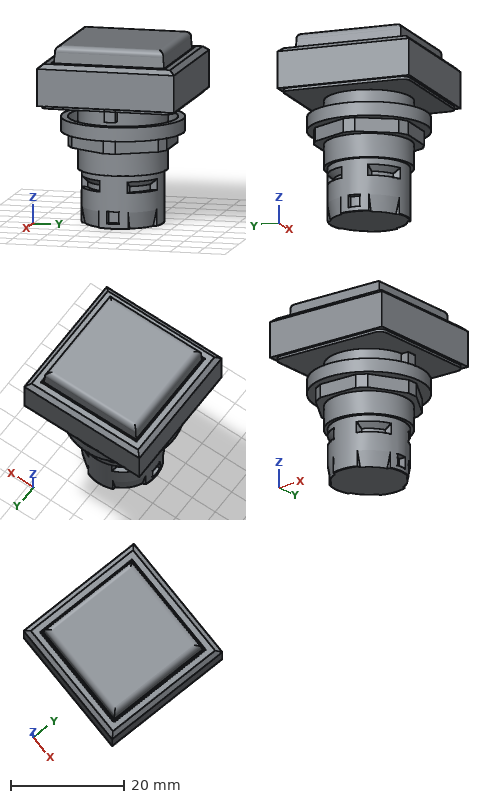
import cadquery as cq
import math


notch_top = 3.0
pocket_bottom = 6.5
pocket_top = 8.5
collar_bottom = 9.7
nut_bottom = 14.0
washer_bottom = 16.5
washer_top = 19.0
rim_bottom = 22.0
bezel_bottom = 22.5
bezel_top = 30.0
cap_top = 33.0

barrel_radius = 14.7 / 2
collar_radius = 16.0 / 2
washer_radius = 22.0 / 2
washer_recess_radius = 19.5 / 2
washer_recess_depth = 2.0
end_chamfer = 0.1

nut_across_flats = 18.0
nut_across_corner_cuts = 19.5

key_width = 2.0
key_reach = 9.55
key_bottom = 19.6
key_top = 21.9

bezel_size = 25.0
bezel_chamfer_width = 0.92
bezel_chamfer_height = 0.8
rim_size = 24.0
rim_corner_radius = 1.5

groove_half_width = 10.4
groove_depth = 1.0
ledge_half_width = 10.23
ledge_drop = 0.15
cap_base_half_width = 10.03
cap_shoulder_half_width = 9.9
cap_shoulder_height = 31.8
cap_edge_radius = 1.05

diagonals = [45 + 90 * i for i in range(4)]
pocket_floor_radius = 6.35
pocket_mouth_half_width = 3.1
pocket_floor_half_width = 2.1
notch_end_radius = 6.83
notch_half_width = 2.95
notch_end_half_width = 2.4
cutter_overrun = 0.33

window_size = 2.2
window_bottom = 0.9
window_floor_radius = 12.1 / 2


def cylinder(radius, bottom, top):
    return cq.Workplane("XY").workplane(offset=bottom).circle(radius).extrude(top - bottom)


def square_block(half_width, bottom, top):
    size = 2 * half_width
    return cq.Workplane("XY").workplane(offset=bottom).rect(size, size).extrude(top - bottom)


def hexagon_prism(across_flats, first_corner_angle):
    corner_radius = across_flats / math.sqrt(3)
    angles = [math.radians(first_corner_angle + 60 * i) for i in range(6)]
    corners = [(corner_radius * math.cos(a), corner_radius * math.sin(a)) for a in angles]
    return (
        cq.Workplane("XY")
        .workplane(offset=nut_bottom)
        .polyline(corners)
        .close()
        .extrude(washer_bottom - nut_bottom)
    )


def make_nut():
    return hexagon_prism(nut_across_flats, 0).intersect(hexagon_prism(nut_across_corner_cuts, 30))


def make_washer():
    """Washer with a round recess in its upper face, around the collar."""
    washer = cylinder(washer_radius, washer_bottom, washer_top)
    return washer.cut(cylinder(washer_recess_radius, washer_top - washer_recess_depth, washer_top))


def make_key():
    key = cq.Workplane("XY").box(
        key_reach, key_width, key_top - key_bottom, centered=(False, True, False)
    )
    return key.translate((0, 0, key_bottom))


def make_bezel():
    rim = (
        cq.Workplane("XY")
        .workplane(offset=rim_bottom)
        .rect(rim_size, rim_size)
        .extrude(bezel_bottom - rim_bottom)
        .edges("|Z")
        .fillet(rim_corner_radius)
    )
    block = square_block(bezel_size / 2, bezel_bottom, bezel_top)
    block = block.faces(">Z").chamfer(bezel_chamfer_height, bezel_chamfer_width)
    groove = square_block(groove_half_width, bezel_top - groove_depth, bezel_top)
    ledge = square_block(ledge_half_width, bezel_top - groove_depth, bezel_top - ledge_drop)
    return block.cut(groove).union(ledge).union(rim)


def cap_bar(plane):
    """Bar with the cap's cross-section, running the full cap width."""
    base = bezel_top - ledge_drop
    flat_half_width = cap_shoulder_half_width - cap_edge_radius
    arc_offset = cap_edge_radius * math.sqrt(0.5)
    arc_middle_x = flat_half_width + arc_offset
    arc_middle_z = cap_top - cap_edge_radius + arc_offset
    return (
        cq.Workplane(plane)
        .moveTo(-cap_base_half_width, base)
        .lineTo(cap_base_half_width, base)
        .lineTo(cap_shoulder_half_width, cap_shoulder_height)
        .threePointArc((arc_middle_x, arc_middle_z), (flat_half_width, cap_top))
        .lineTo(-flat_half_width, cap_top)
        .threePointArc((-arc_middle_x, arc_middle_z), (-cap_shoulder_half_width, cap_shoulder_height))
        .close()
        .extrude(cap_base_half_width, both=True)
    )


def make_cap():
    return cap_bar("XZ").intersect(cap_bar("YZ"))


def tapered_wedge(inner_radius, inner_half_width, outer_half_width, bottom, top):
    """Prism along +X, narrower towards the axis; its sides meet the barrel at outer_half_width."""
    inner_x = math.sqrt(inner_radius**2 - inner_half_width**2)
    outer_x = math.sqrt(barrel_radius**2 - outer_half_width**2)
    slope = (outer_half_width - inner_half_width) / (outer_x - inner_x)
    far_x = barrel_radius + cutter_overrun
    far_half_width = outer_half_width + slope * (far_x - outer_x)
    near_x = inner_x - cutter_overrun
    near_half_width = inner_half_width - slope * cutter_overrun
    return (
        cq.Workplane("XY")
        .workplane(offset=bottom)
        .polyline(
            [
                (near_x, -near_half_width),
                (far_x, -far_half_width),
                (far_x, far_half_width),
                (near_x, near_half_width),
            ]
        )
        .close()
        .extrude(top - bottom)
    )


def ring_of(profile):
    """Solid of revolution about Z from (radius, height) points."""
    return cq.Workplane("XZ").polyline(profile).close().revolve(360, (0, 0), (0, 1))


def make_pocket():
    """Pocket with a round floor, a flat lower side and a 45 degree conical upper side."""
    clear_radius = barrel_radius + cutter_overrun
    roof_low = pocket_top - (barrel_radius - pocket_floor_radius)
    roof_high = pocket_top + cutter_overrun
    ring = ring_of(
        [
            (pocket_floor_radius, pocket_bottom),
            (clear_radius, pocket_bottom),
            (clear_radius, roof_high),
            (pocket_floor_radius, roof_low),
        ]
    )
    wedge = tapered_wedge(
        pocket_floor_radius, pocket_floor_half_width, pocket_mouth_half_width, pocket_bottom, roof_high
    )
    return ring.intersect(wedge)


def make_notch():
    """Notch whose conical floor runs from the barrel surface inwards to the lower end."""
    clear_radius = barrel_radius + cutter_overrun
    ring = ring_of(
        [
            (notch_end_radius, 0),
            (clear_radius, 0),
            (clear_radius, notch_top),
            (barrel_radius, notch_top),
        ]
    )
    wedge = tapered_wedge(notch_end_radius, notch_end_half_width, notch_half_width, 0, notch_top)
    return ring.intersect(wedge)


def make_windows():
    """Square cutters through both sides of the barrel, ending on a round floor."""
    bar = cq.Workplane("XY").box(
        2 * collar_radius, window_size, window_size, centered=(True, True, False)
    )
    bar = bar.translate((0, 0, window_bottom))
    return bar.cut(cylinder(window_floor_radius, 0, collar_bottom))


def make_barrel():
    barrel = cylinder(barrel_radius, 0, collar_bottom).faces("<Z").chamfer(end_chamfer)
    pocket = make_pocket()
    notch = make_notch()
    for angle in diagonals:
        barrel = barrel.cut(pocket.rotate((0, 0, 0), (0, 0, 1), angle))
        barrel = barrel.cut(notch.rotate((0, 0, 0), (0, 0, 1), angle))
    return barrel.cut(make_windows())


result = (
    make_barrel()
    .union(make_nut())
    .union(make_washer())
    .union(cylinder(collar_radius, collar_bottom, rim_bottom))
    .union(make_key())
    .union(make_bezel())
    .union(make_cap())
)